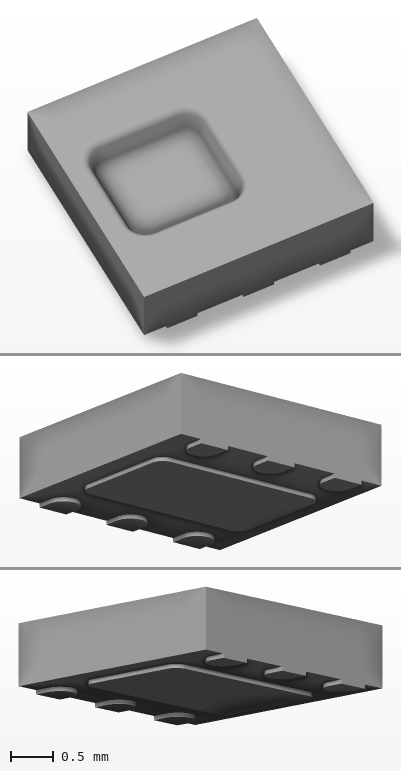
import cadquery as cq


body_side = 3.0
body_height = 0.75
standoff = 0.05
body_top = standoff + body_height

frame_thickness = 0.2
etched_thickness = frame_thickness / 2
contact_width = 0.4
contact_length = 0.4
contact_pitch = 1.0
contacts_per_side = 3
pad_width = 1.5
pad_corner_radius = 0.15
pad_length = (contacts_per_side - 1) * contact_pitch + contact_width
tie_bar_width = 0.15
tie_bar_offset = 0.875
flange_width = 2 * tie_bar_offset + tie_bar_width

window_y = -0.45
window_floor_width = 1.2
window_floor_length = 1.3
window_floor_radius = 0.15
window_depth = 0.3
window_draft = 22.0
window_edge_radius = 0.1
window_floor_z = body_top - window_depth

die_width = 0.985
die_length = 1.008
die_y = -0.423
die_height = window_floor_z - frame_thickness


def block(width, length, height, bottom_z, y=0.0):
    """Box centred on X = 0, standing on bottom_z."""
    base = cq.Workplane("XY", origin=(0, y, bottom_z))
    return base.box(width, length, height, centered=(True, True, False))


def make_contact(side, y):
    """Edge contact with a half-round inner end; side is -1 or +1 along X."""
    outer_x = side * body_side / 2
    tip_x = outer_x - side * contact_length
    half_width = contact_width / 2
    round_start_x = tip_x + side * half_width
    return (
        cq.Workplane("XY")
        .moveTo(outer_x, y - half_width)
        .lineTo(round_start_x, y - half_width)
        .threePointArc((tip_x, y), (round_start_x, y + half_width))
        .lineTo(outer_x, y + half_width)
        .close()
        .extrude(frame_thickness)
    )


def make_die_pad():
    """Full-thickness pad with an etched upper flange and tie bars reaching both Y faces."""
    pad = block(pad_width, pad_length, frame_thickness, 0).edges("|Z").fillet(pad_corner_radius)
    pad = pad.union(block(flange_width, pad_length, etched_thickness, etched_thickness))
    tie_bar = block(tie_bar_width, body_side, etched_thickness, etched_thickness)
    for side in (-1, 1):
        pad = pad.union(tie_bar.translate((side * tie_bar_offset, 0, 0)))
    return pad


def make_die():
    return block(die_width, die_length, die_height, frame_thickness, die_y)


def make_window_cutter():
    """Flared window volume with a rounded floor edge."""
    floor = cq.Sketch().rect(window_floor_width, window_floor_length).vertices().fillet(window_floor_radius)
    return (
        cq.Workplane("XY", origin=(0, window_y, window_floor_z))
        .placeSketch(floor)
        .extrude(window_depth, taper=-window_draft)
        .faces("<Z")
        .edges()
        .fillet(window_edge_radius)
    )


def make_housing(inserts):
    """Moulded block with the window, recessed around every insert."""
    housing = block(body_side, body_side, body_height, standoff).cut(make_window_cutter())
    rim = housing.faces(">Z").val().innerWires()[0]
    housing = housing.newObject(rim.Edges()).fillet(window_edge_radius)
    for insert in inserts:
        housing = housing.cut(insert)
    return housing


contacts = []
for side in (-1, 1):
    for row in range(contacts_per_side):
        contact_y = (row - (contacts_per_side - 1) / 2) * contact_pitch
        contacts.append(make_contact(side, contact_y))

die_pad = make_die_pad()
die = make_die()
housing = make_housing([*contacts, die_pad, die])

result = cq.Compound.makeCompound(
    [housing.val(), die_pad.val(), die.val(), *[contact.val() for contact in contacts]]
)